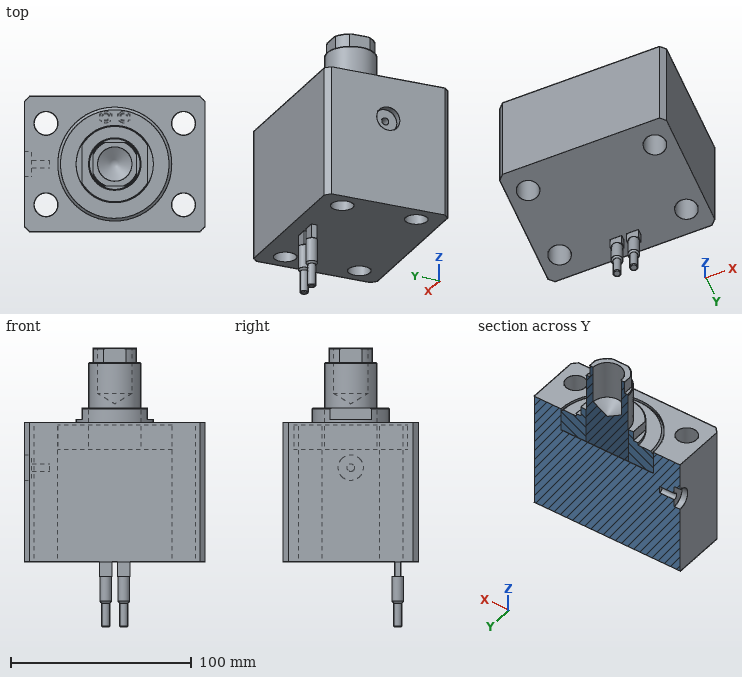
import cadquery as cq
import math

BLOCK_LENGTH = 100.0
BLOCK_WIDTH = 75.0
BLOCK_HEIGHT = 77.0
BLOCK_CHAMFER = 3.0

MOUNT_DIAMETER = 13.0
MOUNT_SPACING_X = 76.0
MOUNT_SPACING_Y = 45.0

PORT_DIAMETER = 14.0
PORT_DEPTH = 4.0
PORT_DRILL_DIAMETER = 4.2
PORT_DRILL_DEPTH = 10.0
PORT_BELOW_TOP = 25.0
PORT_Z = BLOCK_HEIGHT - PORT_BELOW_TOP

PLUG_DIAMETER = 63.0
PLUG_DEPTH = 15.0
PLUG_CHAMFER = 1.5
COLLAR_DIAMETER = 42.7
COLLAR_HEIGHT = 8.0
COLLAR_ACROSS_FLATS = 36.0
COLLAR_FLAT_START = 1.7
COLLAR_CHAMFER = 0.5
PLUG_BOTTOM_Z = BLOCK_HEIGHT - PLUG_DEPTH
COLLAR_TOP_Z = BLOCK_HEIGHT + COLLAR_HEIGHT

ROD_DIAMETER = 29.0
ROD_PROJECTION = 41.0
ROD_CHAMFER = 0.5
TIP_LENGTH = 8.0
TIP_DIAMETER = 27.0
TIP_ACROSS_FLATS = 24.0
TIP_CHAMFER = 0.5
ROD_BORE_DIAMETER = 19.0
ROD_BORE_DEPTH = 25.0
ROD_TOP_Z = BLOCK_HEIGHT + ROD_PROJECTION
SHOULDER_Z = ROD_TOP_Z - TIP_LENGTH

SWITCH_SPACING = 10.0
SWITCH_Y = 26.0
STEM_WIDTH = 7.0
STEM_THICKNESS = 3.5
STEM_LENGTH = 8.0
BARREL_DIAMETER = 6.5
BARREL_LENGTH = 13.8
TAPER_LENGTH = 1.2
CABLE_DIAMETER = 4.5
CABLE_CHAMFER = 0.5
SWITCH_LENGTH = 36.0

DRILL_POINT_ANGLE = 118.0


def cylinder(diameter, bottom_z, top_z):
    """Upright cylinder on the Z axis between two heights."""
    return cq.Workplane("XY", origin=(0, 0, bottom_z)).circle(diameter / 2).extrude(top_z - bottom_z)


def flat_block(size_x, size_y, bottom_z, top_z):
    """Rectangular block centred on the Z axis between two heights."""
    return cq.Workplane("XY", origin=(0, 0, bottom_z)).rect(size_x, size_y).extrude(top_z - bottom_z)


def drill(diameter, depth):
    """Drilled-hole volume with a conical end, going down from the origin along -Z."""
    radius = diameter / 2
    point_length = radius / math.tan(math.radians(DRILL_POINT_ANGLE / 2))
    profile = [(0, 0), (radius, 0), (radius, -depth), (0, -depth - point_length)]
    return cq.Workplane("XZ").polyline(profile).close().revolve(360, (0, 0), (0, 1))


def make_housing():
    block = flat_block(BLOCK_LENGTH, BLOCK_WIDTH, 0, BLOCK_HEIGHT).edges("|Z").chamfer(BLOCK_CHAMFER)
    mounting_holes = (
        cq.Workplane("XY")
        .rect(MOUNT_SPACING_X, MOUNT_SPACING_Y, forConstruction=True)
        .vertices()
        .circle(MOUNT_DIAMETER / 2)
        .extrude(BLOCK_HEIGHT)
    )
    plug_recess = cylinder(PLUG_DIAMETER, PLUG_BOTTOM_Z, BLOCK_HEIGHT)

    port_face_x = -BLOCK_LENGTH / 2
    port_recess = (
        cq.Workplane("YZ", origin=(port_face_x, 0, PORT_Z)).circle(PORT_DIAMETER / 2).extrude(PORT_DEPTH)
    )
    port_drill = (
        cq.Workplane("YZ", origin=(port_face_x + PORT_DEPTH, 0, PORT_Z))
        .circle(PORT_DRILL_DIAMETER / 2)
        .extrude(PORT_DRILL_DEPTH)
    )
    return block.cut(mounting_holes).cut(plug_recess).cut(port_recess).cut(port_drill)


def make_gland():
    plug = cylinder(PLUG_DIAMETER, PLUG_BOTTOM_Z, BLOCK_HEIGHT).faces(">Z").edges().chamfer(PLUG_CHAMFER)
    collar = cylinder(COLLAR_DIAMETER, BLOCK_HEIGHT, COLLAR_TOP_Z).faces(">Z").edges().chamfer(COLLAR_CHAMFER)
    flat_start_z = BLOCK_HEIGHT + COLLAR_FLAT_START
    collar_base = cylinder(COLLAR_DIAMETER, BLOCK_HEIGHT, flat_start_z)
    between_flats = flat_block(COLLAR_ACROSS_FLATS, COLLAR_DIAMETER, BLOCK_HEIGHT, COLLAR_TOP_Z)
    flatted_collar = collar.intersect(between_flats).union(collar_base)
    rod_hole = cylinder(ROD_DIAMETER, PLUG_BOTTOM_Z, COLLAR_TOP_Z)
    return plug.union(flatted_collar).cut(rod_hole)


def make_rod():
    shank = cylinder(ROD_DIAMETER, PLUG_BOTTOM_Z, SHOULDER_Z).faces(">Z").edges().chamfer(ROD_CHAMFER)
    round_tip = cylinder(TIP_DIAMETER, SHOULDER_Z, ROD_TOP_Z).faces(">Z").edges().chamfer(TIP_CHAMFER)
    tip = round_tip.intersect(flat_block(TIP_ACROSS_FLATS, TIP_ACROSS_FLATS, SHOULDER_Z, ROD_TOP_Z))
    bore = drill(ROD_BORE_DIAMETER, ROD_BORE_DEPTH).translate((0, 0, ROD_TOP_Z))
    return shank.union(tip).cut(bore)


def make_switch(center_x):
    """Flat stem, round barrel tapering to a thin cable end, hanging below the block."""
    barrel_end_z = -STEM_LENGTH - BARREL_LENGTH
    taper_end_z = barrel_end_z - TAPER_LENGTH
    barrel_radius = BARREL_DIAMETER / 2
    cable_radius = CABLE_DIAMETER / 2
    profile = [
        (0, -STEM_LENGTH),
        (barrel_radius, -STEM_LENGTH),
        (barrel_radius, barrel_end_z),
        (cable_radius, taper_end_z),
        (cable_radius, -SWITCH_LENGTH + CABLE_CHAMFER),
        (cable_radius - CABLE_CHAMFER, -SWITCH_LENGTH),
        (0, -SWITCH_LENGTH),
    ]
    round_part = cq.Workplane("XZ").polyline(profile).close().revolve(360, (0, 0), (0, 1))
    stem = flat_block(STEM_WIDTH, STEM_THICKNESS, -STEM_LENGTH, 0)
    return stem.union(round_part).translate((center_x, SWITCH_Y, 0))


housing = make_housing()
gland = make_gland()
rod = make_rod()
switches = [make_switch(side * SWITCH_SPACING / 2) for side in (-1, 1)]

result = cq.Compound.makeCompound(
    [housing.val(), gland.val(), rod.val(), *[switch.val() for switch in switches]]
)